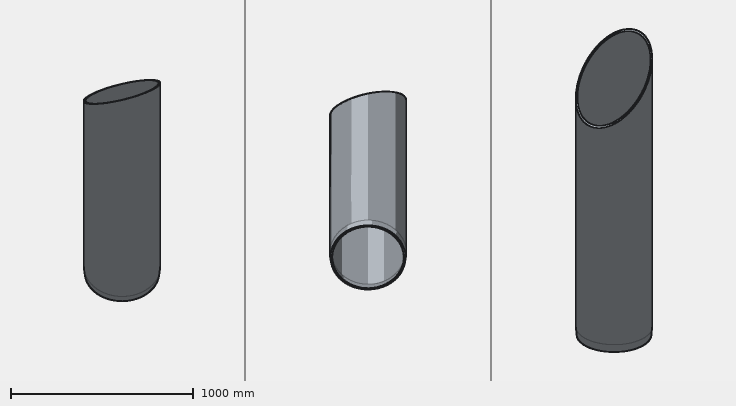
import cadquery as cq

height = 1800.0
outer_diameter = 420.0
bore_diameter = 400.0

mouth_low_z = height - outer_diameter

foot_height = 50.0
foot_inset = 4.3


def make_tapered_cylinder(diameter):
    """Full-height solid of revolution that narrows over the foot."""
    radius = diameter / 2
    foot_radius = radius - foot_inset
    return (
        cq.Workplane("XZ")
        .lineTo(foot_radius, 0)
        .lineTo(radius, foot_height)
        .lineTo(radius, height)
        .lineTo(0, height)
        .close()
        .revolve(360, (0, 0), (0, 1))
    )


def make_mouth_cut():
    """Wedge above the slanted mouth, which is low at -X and high at +X."""
    radius = outer_diameter / 2
    return (
        cq.Workplane("XZ")
        .moveTo(-radius, mouth_low_z)
        .lineTo(radius, height)
        .lineTo(-radius, height)
        .close()
        .extrude(radius, both=True)
    )


tube = make_tapered_cylinder(outer_diameter).cut(make_tapered_cylinder(bore_diameter))
result = tube.cut(make_mouth_cut())